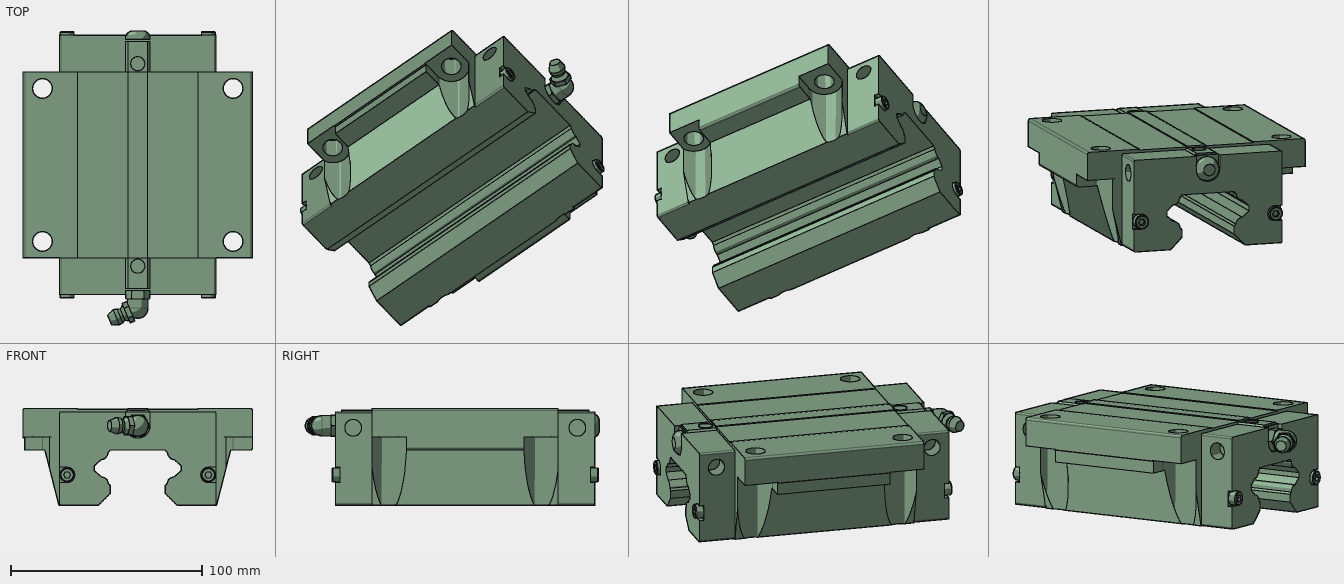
import cadquery as cq
import math

block_width = 120.0
block_length = 97.2
block_height = 50.7
flange_bottom = 28.9
wall_half_width_top = 48.5
wall_half_width_bottom = 41.2
corner_round = 1.2
reference_step = 0.9
reference_step_height = 35.4
top_relief_depth = 0.5
top_relief_half_width = 31.4
rib_width = 10.1

hole_spacing_x = 99.6
hole_spacing_y = 80.0
hole_diameter = 10.1
pocket_radius = 9.4
pocket_ceiling = 35.8

cap_width = 81.8
cap_length = 129.1
cap_height = 48.9
seal_thickness = 3.2
seal_length = cap_length + 2 * seal_thickness
cap_round = 0.9
strip_top = 49.8
strip_base_width = 12.9

top_port_diameter = 7.4
top_port_y = 52.9
top_port_depth = 0.3
side_port_diameter = 8.8
side_port_y = 58.5
side_port_z = 40.6
side_port_depth = 9.2

screw_x = 36.9
screw_z = 16.0
screw_seat_y = 65.3
screw_head_y = 69.6
screw_head_radius = 3.7
screw_head_bevel = 0.5
screw_seat_radius = 4.0
screw_socket_size = 3.7
screw_socket_depth = 1.8

fitting_z = 41.7
fitting_seat_y = 65.5
fitting_seat_radius = 6.5
nut_across_corners = 12.8
nut_end_y = 70.1
nut_bevel = 0.5
elbow_radius = 5.4
elbow_center_y = 74.9
nozzle_angle = 23.0
plug_end_y = nut_end_y
plug_radius = 6.3
plug_rim = 0.5
plug_flat_radius = 3.0


def extrude_along_y(sketch, length):
    """Extrude a profile drawn in XZ evenly to both sides of Y = 0."""
    return sketch.extrude(length / 2, both=True)


def make_block():
    half = block_width / 2
    relief_floor = block_height - top_relief_depth
    outline = [
        (-wall_half_width_bottom, 0),
        (wall_half_width_bottom, 0),
        (wall_half_width_top, flange_bottom),
        (half, flange_bottom),
        (half, block_height),
        (top_relief_half_width, block_height),
        (top_relief_half_width, relief_floor),
        (rib_width / 2, relief_floor),
        (rib_width / 2, block_height),
        (-rib_width / 2, block_height),
        (-rib_width / 2, relief_floor),
        (-top_relief_half_width, relief_floor),
        (-top_relief_half_width, block_height),
        (-half, block_height),
        (-half, reference_step_height),
        (-half + reference_step, reference_step_height),
        (-half + reference_step, flange_bottom),
        (-wall_half_width_top, flange_bottom),
    ]
    block = extrude_along_y(cq.Workplane("XZ").polyline(outline).close(), block_length)
    rounded = [(half, flange_bottom), (half, block_height), (-half, block_height)]
    for x, z in rounded:
        block = block.edges(cq.selectors.NearestToPointSelector((x, 0, z))).fillet(corner_round)
    return block


def make_caps():
    caps = cq.Workplane("XY").box(cap_width, seal_length, cap_height, centered=(True, True, False))
    caps = caps.edges("|Y").fillet(cap_round)
    strip = (
        cq.Workplane("XZ")
        .polyline([
            (-strip_base_width / 2, cap_height - cap_round),
            (-strip_base_width / 2, cap_height),
            (-rib_width / 2, strip_top),
            (rib_width / 2, strip_top),
            (strip_base_width / 2, cap_height),
            (strip_base_width / 2, cap_height - cap_round),
        ])
        .close()
    )
    return caps.union(extrude_along_y(strip, cap_length))


def make_pocket():
    """Round-ended slot, centred on a hole axis at the origin and open towards +X."""
    slot = cq.Workplane("XY").circle(pocket_radius).extrude(pocket_ceiling)
    opening = cq.Workplane("XY").box(
        block_width / 2, 2 * pocket_radius, pocket_ceiling, centered=(False, True, False)
    )
    return slot.union(opening)


def cut_mounting_holes(body):
    x = hole_spacing_x / 2
    y = hole_spacing_y / 2
    for side_y in (-y, y):
        body = body.cut(make_pocket().translate((x, side_y, 0)))
        body = body.cut(make_pocket().rotate((0, 0, 0), (0, 0, 1), 180).translate((-x, side_y, 0)))
    holes = (
        cq.Workplane("XY")
        .rect(hole_spacing_x, hole_spacing_y, forConstruction=True)
        .vertices()
        .circle(hole_diameter / 2)
        .extrude(block_height)
    )
    return body.cut(holes)


def cut_rail_channel(body):
    """Cut the rail opening: a flared mouth, a ball ridge above and below each side groove, a flat roof."""
    mouth_half_width = 20.6
    lip_half_width = 14.3
    groove_half_width = 22.6
    roof = flange_bottom
    channel = (
        cq.Workplane("XZ")
        .moveTo(mouth_half_width, 0)
        .lineTo(lip_half_width, 6.3)
        .lineTo(lip_half_width, 10.5)
        .lineTo(15.4, 11.5)
        .threePointArc((16.3, 13.7), (18.9, 14.9))
        .lineTo(groove_half_width, 18.1)
        .lineTo(groove_half_width, 20.8)
        .lineTo(19.2, 23.8)
        .threePointArc((16.6, 25.0), (15.5, 27.5))
        .lineTo(lip_half_width, roof)
        .lineTo(0, roof)
        .lineTo(0, 0)
        .close()
    )
    half_channel = extrude_along_y(channel, seal_length)
    return body.cut(half_channel).cut(half_channel.mirror("YZ"))


def cut_ports(body):
    for y_side in (-1, 1):
        top_port = (
            cq.Workplane("XY", origin=(0, y_side * top_port_y, strip_top - top_port_depth))
            .circle(top_port_diameter / 2)
            .extrude(top_port_depth)
        )
        body = body.cut(top_port)
        side_port = (
            cq.Workplane("YZ", origin=(-cap_width / 2, y_side * side_port_y, side_port_z))
            .circle(side_port_diameter / 2)
            .extrude(side_port_depth)
        )
        body = body.cut(side_port).cut(side_port.mirror("YZ"))
    return body


def toward_front(y, x=0.0, z=0.0):
    """Workplane whose normal points towards -Y, placed at distance y in front of the middle."""
    return cq.Workplane("XZ", origin=(x, -y, z))


def both_ends(shape):
    return shape.union(shape.mirror("XZ"))


def add_screws(body):
    seat_depth = seal_length / 2 - screw_seat_y
    edge_reach = cap_width / 2 - screw_x
    for x_side in (-1, 1):
        x = x_side * screw_x
        seat = toward_front(screw_seat_y, x, screw_z).circle(screw_seat_radius).extrude(seat_depth)
        side_opening = (
            toward_front(screw_seat_y, x + x_side * edge_reach / 2, screw_z)
            .rect(edge_reach, 2 * screw_seat_radius)
            .extrude(seat_depth)
        )
        screw = (
            toward_front(screw_seat_y, x, screw_z)
            .circle(screw_head_radius)
            .extrude(screw_head_y - screw_seat_y)
            .faces("<Y")
            .chamfer(screw_head_bevel)
        )
        socket = (
            toward_front(screw_head_y - screw_socket_depth, x, screw_z)
            .polygon(6, screw_socket_size)
            .extrude(screw_socket_depth)
        )
        body = body.cut(both_ends(seat.union(side_opening)))
        body = body.union(both_ends(screw.cut(socket)))
    return body


def cut_fitting_seats(body):
    depth = seal_length / 2 - fitting_seat_y
    height = block_height - fitting_z
    seat = toward_front(fitting_seat_y, 0, fitting_z).circle(fitting_seat_radius).extrude(depth)
    upper = (
        toward_front(fitting_seat_y, 0, fitting_z + height / 2)
        .rect(2 * fitting_seat_radius, height)
        .extrude(depth)
    )
    return body.cut(both_ends(seat.union(upper)))


def make_nozzle():
    """Grease nipple along +X with the elbow centre at the origin."""
    hex_start = 4.0
    hex_end = 6.6
    hex_across_corners = 11.0
    neck_radius = 3.2
    neck_end = 8.6
    collar_radius = 4.6
    bulge_start = (10.1, 4.0)
    bulge_end = (12.1, 4.3)
    tip_end = 16.0
    tip_radius = 2.8
    profile = [
        (0, 0),
        (0, neck_radius),
        (hex_start, neck_radius),
        (hex_end, collar_radius),
        (neck_end, neck_radius),
        bulge_start,
        bulge_end,
        (tip_end, tip_radius),
        (tip_end, 0),
    ]
    stem = (
        cq.Workplane("XY")
        .polyline(profile)
        .close()
        .revolve(360, (0, 0, 0), (1, 0, 0))
    )
    collar = (
        cq.Workplane("YZ", origin=(hex_start, 0, 0))
        .polygon(6, hex_across_corners)
        .extrude(hex_end - hex_start)
    )
    return stem.union(collar)


def make_fitting():
    nut = (
        toward_front(fitting_seat_y, 0, fitting_z)
        .polygon(6, nut_across_corners)
        .extrude(nut_end_y - fitting_seat_y)
    )
    corner_turning = (
        toward_front(fitting_seat_y, 0, fitting_z)
        .circle(nut_across_corners / 2)
        .extrude(nut_end_y - fitting_seat_y)
        .faces("|Y")
        .chamfer(nut_bevel)
    )
    nut = nut.intersect(corner_turning)
    neck = (
        toward_front(nut_end_y, 0, fitting_z)
        .circle(elbow_radius)
        .extrude(elbow_center_y - nut_end_y)
    )
    elbow_center = (0, -elbow_center_y, fitting_z)
    elbow = cq.Workplane("XY").sphere(elbow_radius).translate(elbow_center)
    nozzle = make_nozzle().rotate((0, 0, 0), (0, 0, 1), 180 + nozzle_angle).translate(elbow_center)
    return nut.union(neck).union(elbow).union(nozzle)


def make_plug():
    rim_y = fitting_seat_y + plug_rim
    dome_height = plug_end_y - rim_y
    bulge = math.sqrt(0.5)
    dome_middle = (
        plug_flat_radius + (plug_radius - plug_flat_radius) * bulge,
        rim_y + dome_height * bulge,
    )
    return (
        cq.Workplane("XY")
        .moveTo(0, fitting_seat_y)
        .lineTo(plug_radius, fitting_seat_y)
        .lineTo(plug_radius, rim_y)
        .threePointArc(dome_middle, (plug_flat_radius, plug_end_y))
        .lineTo(0, plug_end_y)
        .close()
        .revolve(360, (0, 0, 0), (0, 1, 0))
        .translate((0, 0, fitting_z))
    )


body = make_block().union(make_caps())
body = cut_mounting_holes(body)
body = cut_rail_channel(body)
body = cut_ports(body)
body = add_screws(body)
body = cut_fitting_seats(body)
result = body.union(make_fitting()).union(make_plug())